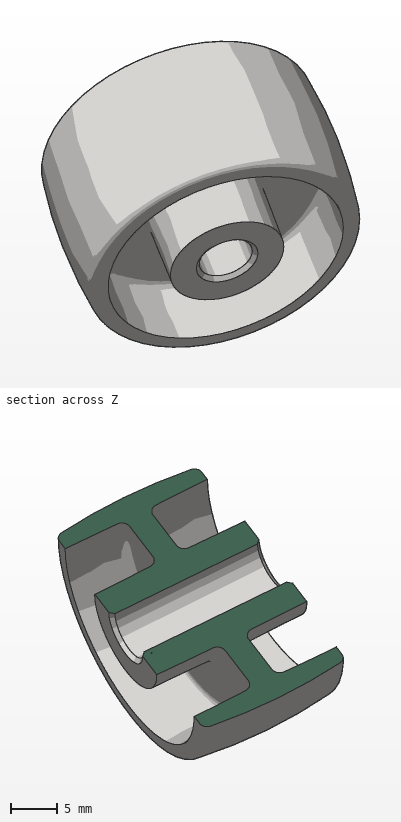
import cadquery as cq

hub_width = 19.0
tread_width = 18.0
crown_radius = 15.95

shoulder_radius = 15.4
edge_round = 0.85
rim_flat_radius = 14.4
round_bulge = 0.3

web_thickness = 3.0
recess_mouth_radius = 13.3
recess_floor_radius = 13.2
hub_face_radius = 6.4
hub_base_radius = 6.5
root_fillet = 1.0

bore_radius = 3.0
bore_chamfer = 0.48

half_hub = hub_width / 2
half_tread = tread_width / 2
half_web = web_thickness / 2
shoulder_x = half_tread - edge_round
round_middle = (
    half_tread - round_bulge * edge_round,
    shoulder_radius - round_bulge * (shoulder_radius - rim_flat_radius),
)


def revolve_about_x(profile):
    """Turn a closed XY profile (x = axial, y = radial) about the X axis."""
    return profile.close().revolve(360, (0, 0, 0), (1, 0, 0))


def wheel_blank():
    """Solid rim with a crowned tread and rounded edges."""
    return revolve_about_x(
        cq.Workplane("XY")
        .moveTo(-half_tread, 0)
        .lineTo(-half_tread, rim_flat_radius)
        .threePointArc((-round_middle[0], round_middle[1]), (-shoulder_x, shoulder_radius))
        .threePointArc((0, crown_radius), (shoulder_x, shoulder_radius))
        .threePointArc(round_middle, (half_tread, rim_flat_radius))
        .lineTo(half_tread, 0)
    )


def side_recess(side):
    """Ring-shaped pocket between rim and hub; side is -1 or +1 along X."""
    pocket = revolve_about_x(
        cq.Workplane("XY")
        .moveTo(side * half_web, hub_base_radius)
        .lineTo(side * half_hub, hub_face_radius)
        .lineTo(side * half_hub, recess_mouth_radius)
        .lineTo(side * half_tread, recess_mouth_radius)
        .lineTo(side * half_web, recess_floor_radius)
    )
    floor = "<X" if side > 0 else ">X"
    return pocket.faces(floor).edges().fillet(root_fillet)


def bore():
    """Through bore, chamfered at both ends."""
    mouth_radius = bore_radius + bore_chamfer
    chamfer_x = half_hub - bore_chamfer
    return revolve_about_x(
        cq.Workplane("XY")
        .moveTo(-half_hub, 0)
        .lineTo(-half_hub, mouth_radius)
        .lineTo(-chamfer_x, bore_radius)
        .lineTo(chamfer_x, bore_radius)
        .lineTo(half_hub, mouth_radius)
        .lineTo(half_hub, 0)
    )


hub_blank = cq.Workplane("YZ").circle(hub_base_radius).extrude(half_hub, both=True)

result = wheel_blank().union(hub_blank)
for side in (-1, 1):
    result = result.cut(side_recess(side))
result = result.cut(bore())